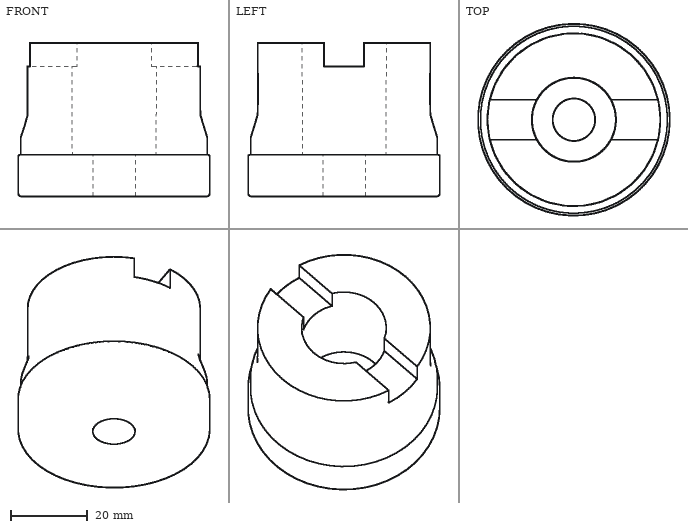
import cadquery as cq
import math

total_height = 40.0
base_height = 10.9

base_radius = 25.0
base_top_fillet = 0.5
base_bottom_fillet = 0.9
base_hole_radius = 5.5

skirt_radius = 24.35
skirt_top = 15.3
shoulder_top = 21.2
neck_radius = 22.5
bore_radius = 11.0
draft_angle = 0.2

slot_width = 10.4
slot_depth = 6.1
slot_floor = total_height - slot_depth

draft_slope = math.tan(math.radians(draft_angle))
neck_bottom_radius = neck_radius + draft_slope * (slot_floor - shoulder_top)
bore_bottom_radius = bore_radius - draft_slope * (slot_floor - base_height)


def make_base():
    """Disc with a through hole and rounded outer edges."""
    disc = cq.Workplane("XY").circle(base_radius).extrude(base_height)
    disc = disc.faces(">Z").edges().fillet(base_top_fillet)
    disc = disc.faces("<Z").edges().fillet(base_bottom_fillet)
    hole = cq.Workplane("XY").circle(base_hole_radius).extrude(base_height)
    return disc.cut(hole)


def make_collar():
    """Open tube with a conical shoulder, slotted across its top."""
    section = [
        (bore_bottom_radius, base_height),
        (skirt_radius, base_height),
        (skirt_radius, skirt_top),
        (neck_bottom_radius, shoulder_top),
        (neck_radius, slot_floor),
        (neck_radius, total_height),
        (bore_radius, total_height),
        (bore_radius, slot_floor),
    ]
    tube = cq.Workplane("XZ").polyline(section).close().revolve(360, (0, 0), (0, 1))
    slot = (
        cq.Workplane("XY")
        .workplane(offset=slot_floor)
        .rect(2 * base_radius, slot_width)
        .extrude(slot_depth)
    )
    return tube.cut(slot)


base = make_base()
collar = make_collar()

result = cq.Compound.makeCompound([base.val(), collar.val()])